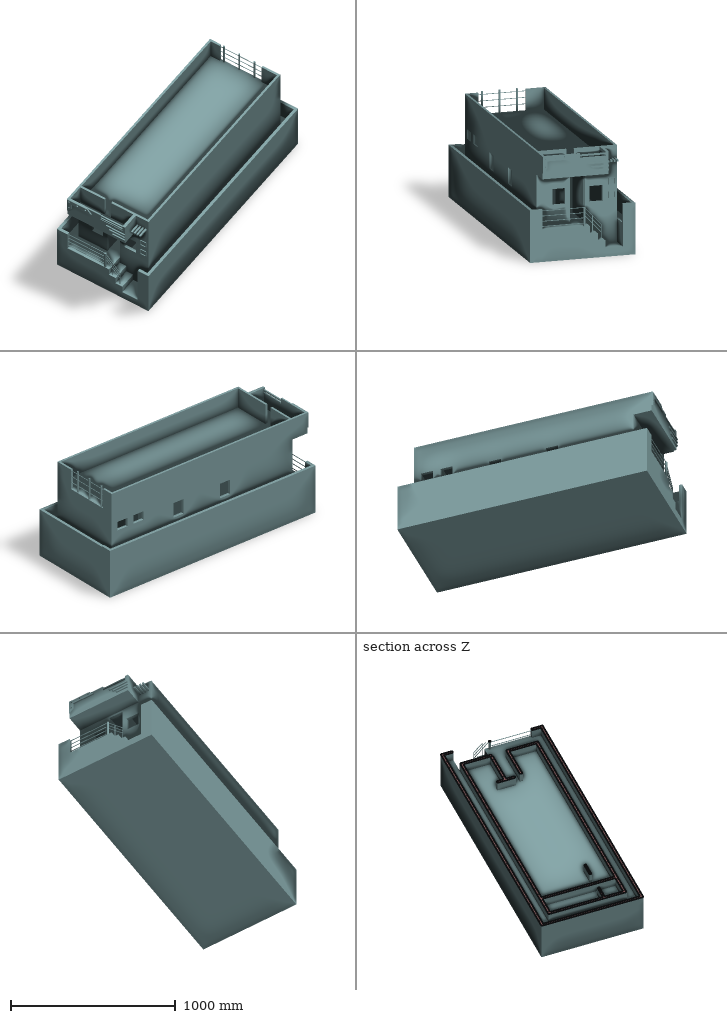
import cadquery as cq
import math

PLOT_WIDTH = 672.0
FACADE_RELIEF = 8.0
PLOT_LENGTH = 1634 - FACADE_RELIEF
WALL_TOP = 324.0
RAISED_WALL_TOP = 328.0
COMPOUND_WALL = 20.0
FLOOR_Z = 201.0

SIDE_PASSAGE = 78.0
HOUSE_LEFT = SIDE_PASSAGE
HOUSE_RIGHT = PLOT_WIDTH - SIDE_PASSAGE
HOUSE_FRONT = 118.0
HOUSE_REAR = PLOT_LENGTH - SIDE_PASSAGE
HOUSE_WALL = 20.0
PARAPET_WALL = 15.0
ROOF_TOP = 663.0
ROOF_FLOOR = 528.0
CEILING_Z = 510.0

BALCONY_RIGHT = 500.0
BALCONY_UNDERSIDE = 520.0
BALCONY_FLOOR = 526.0
BALCONY_SIDE_WALL = 20.0
BALCONY_FRONT_WALL = 10.0
BALCONY_DOOR_LEFT = 270.0
BALCONY_DOOR_RIGHT = 319.0

GRILLE_LEFT = BALCONY_DOOR_RIGHT
GRILLE_RIGHT = BALCONY_RIGHT - BALCONY_SIDE_WALL
GRILLE_BARS = 2
GRILLE_BAR_HEIGHT = 10.0
GRILLE_PITCH = 2 * GRILLE_BAR_HEIGHT
GRILLE_DEPTH = 10.0
GRILLE_BOTTOM = ROOF_TOP - GRILLE_BARS * GRILLE_PITCH
GRILLE_Y = 3.0

PANEL_WIDTH = 31.0
PANEL_TOP_LENGTH = 147
PANEL_SIDE_HEIGHT = 105.0
PANEL_HOLE_DIAMETER = 12.0
PANEL_HOLE_PITCH = 60.0
PANEL_HOLE_DROP = 50.0
SLATS = 3
SLAT_HEIGHT = 10.0
SLAT_PITCH = 25.0
SLAT_TOP = 603.0
SLAT_LEFT = 363.0

BEAMS = 4
BEAM_SIZE = 11.0
BEAM_LENGTH = 69.0
BEAM_PITCH = 20.0
LAST_BEAM_LEFT = 569.0
BEAM_BOTTOM = 578.0

STEPS = 3
TREAD = 49
RISER = 49
STAIR_TOP_X = 382.0

DOOR_LEFT = 291.0
DOOR_RIGHT = 385.0
DOOR_TOP = 503.0
WINDOW_SILL = 319.0
WINDOW_HEAD = 420.0
FRONT_WINDOWS = [(181.0, 260.0), (415.0, 500.0)]
SIDE_WINDOWS = [(611.0, 690.0), (980, 1059.0)]
SIDE_VENT_SILL = 392
SIDE_VENT_HEAD = 451.0
SIDE_VENTS = [(1295.0, 1375.0), (1423.0, 1502.0)]

HALL_LEFT = DOOR_LEFT
HALL_RIGHT = 380.0
HALL_WALL_LENGTH = 229
HALL_END_LEFT = 324.0
HALL_END_RIGHT = 446.0
REAR_ROOM_Y = 1389
REAR_PARTITION = (215.0, 230.0)
REAR_PARTITION_START = 1225
REAR_DOORWAY = (1319.0, 1441.0)

FRAME_SIZE = 42.0
FRAME_BORDER = 3.0
FRAME_THICKNESS = 5.0
FRAME_LEFT = 535.0
FRAME_BOTTOMS = [335.0, 420.0]

RAIL = 3.0
FRONT_RAIL_Y = 10.0
FRONT_POST_DIAMETER = 15.0
FRONT_POST_X = 350.0
FRONT_POST_TOP = 320.0
FRONT_RAIL_PITCH = 33
FRONT_RAILS = 4
STAIR_POST = 3.0
STAIR_POST_XS = [400.0, 456.0]
STAIR_RAIL_DROP = 115
STAIR_RAIL_PITCH = 25.0
STAIR_RAILS = 3
REAR_GAP_LEFT = 160.0
REAR_GAP_RIGHT = 465.0
REAR_POST_DIAMETER = 12.0
REAR_POST_XS = [185.0, 297.0, 409]
REAR_POST_TOP = 672.0
REAR_RAIL_TOP = 654
REAR_RAIL_PITCH = 41.0
REAR_RAILS = 3


def box(x0, x1, y0, y1, z0, z1):
    """Box between two opposite corners."""
    return cq.Workplane("XY").box(x1 - x0, y1 - y0, z1 - z0, centered=False).translate((x0, y0, z0))


def front_profile(points, y0, y1):
    """Solid with an outline in X and Z, running from y0 back to y1."""
    return cq.Workplane("XZ", origin=(0, y0, 0)).polyline(points).close().extrude(y0 - y1)


def make_compound():
    """Filled plot with a wall around it, open at the front across the house width."""
    plot = box(0, PLOT_WIDTH, 0, PLOT_LENGTH, 0, WALL_TOP)
    plot = plot.union(box(0, SIDE_PASSAGE, 0, PLOT_LENGTH, 0, RAISED_WALL_TOP))
    plot = plot.cut(
        box(COMPOUND_WALL, PLOT_WIDTH - COMPOUND_WALL,
            COMPOUND_WALL, PLOT_LENGTH - COMPOUND_WALL, FLOOR_Z, RAISED_WALL_TOP)
    )
    return plot.cut(box(HOUSE_LEFT, HOUSE_RIGHT, 0, COMPOUND_WALL, FLOOR_Z, RAISED_WALL_TOP))


def make_stair_well():
    """Space above the steps, which go down to the right in front of the house."""
    well = None
    for step in range(STEPS):
        left = STAIR_TOP_X + step * TREAD
        tread_z = FLOOR_Z - (step + 1) * RISER
        space = box(left, HOUSE_RIGHT, 0, HOUSE_FRONT, tread_z, FLOOR_Z)
        well = space if well is None else well.union(space)
    return well


def make_inner_walls():
    """Hall walls at the front, and the wall across and partition along the rear rooms."""
    hall_end = HOUSE_FRONT + HALL_WALL_LENGTH
    partition = box(*REAR_PARTITION, REAR_PARTITION_START, HOUSE_REAR, FLOOR_Z, CEILING_Z)
    return [
        box(HALL_LEFT - HOUSE_WALL, HALL_LEFT, HOUSE_FRONT, hall_end, FLOOR_Z, CEILING_Z),
        box(HALL_RIGHT, HALL_RIGHT + HOUSE_WALL, HOUSE_FRONT, hall_end, FLOOR_Z, CEILING_Z),
        box(HALL_END_LEFT, HALL_END_RIGHT, hall_end, hall_end + HOUSE_WALL, FLOOR_Z, CEILING_Z),
        box(HOUSE_LEFT, HOUSE_RIGHT, REAR_ROOM_Y, REAR_ROOM_Y + HOUSE_WALL, FLOOR_Z, CEILING_Z),
        partition.cut(box(*REAR_PARTITION, *REAR_DOORWAY, FLOOR_Z, CEILING_Z)),
    ]


def make_house_shell():
    """House block with its rooms, its roof terrace and the gap in the rear parapet."""
    house = box(HOUSE_LEFT, HOUSE_RIGHT, HOUSE_FRONT, HOUSE_REAR, FLOOR_Z, ROOF_TOP)
    house = house.cut(
        box(HOUSE_LEFT + PARAPET_WALL, HOUSE_RIGHT - PARAPET_WALL,
            HOUSE_FRONT + PARAPET_WALL, HOUSE_REAR - PARAPET_WALL, ROOF_FLOOR, ROOF_TOP)
    )
    rooms = box(HOUSE_LEFT + HOUSE_WALL, HOUSE_RIGHT - HOUSE_WALL,
                HOUSE_FRONT + HOUSE_WALL, HOUSE_REAR - HOUSE_WALL, FLOOR_Z, CEILING_Z)
    for wall in make_inner_walls():
        rooms = rooms.cut(wall)
    house = house.cut(rooms)
    return house.cut(
        box(REAR_GAP_LEFT, REAR_GAP_RIGHT, HOUSE_REAR - PARAPET_WALL, HOUSE_REAR, ROOF_FLOOR, ROOF_TOP)
    )


def cut_doors_and_windows(house):
    """Openings through the front and left walls."""
    inner_front = HOUSE_FRONT + HOUSE_WALL
    inner_left = HOUSE_LEFT + HOUSE_WALL
    house = house.cut(box(DOOR_LEFT, DOOR_RIGHT, HOUSE_FRONT, inner_front, FLOOR_Z, DOOR_TOP))
    for left, right in FRONT_WINDOWS:
        house = house.cut(box(left, right, HOUSE_FRONT, inner_front, WINDOW_SILL, WINDOW_HEAD))
    for near, far in SIDE_WINDOWS:
        house = house.cut(box(HOUSE_LEFT, inner_left, near, far, WINDOW_SILL, WINDOW_HEAD))
    for near, far in SIDE_VENTS:
        house = house.cut(box(HOUSE_LEFT, inner_left, near, far, SIDE_VENT_SILL, SIDE_VENT_HEAD))
    return house


def make_balcony():
    """Tray that overhangs the entrance, with bars across an opening in its front."""
    balcony = box(HOUSE_LEFT, BALCONY_RIGHT, 0, HOUSE_FRONT, BALCONY_UNDERSIDE, ROOF_TOP)
    balcony = balcony.cut(
        box(HOUSE_LEFT + PARAPET_WALL, BALCONY_RIGHT - BALCONY_SIDE_WALL,
            BALCONY_FRONT_WALL, HOUSE_FRONT, BALCONY_FLOOR, ROOF_TOP)
    )
    balcony = balcony.cut(
        box(GRILLE_LEFT, GRILLE_RIGHT, 0, BALCONY_FRONT_WALL, GRILLE_BOTTOM, ROOF_TOP)
    )
    for bar in range(GRILLE_BARS):
        bottom = GRILLE_BOTTOM + bar * GRILLE_PITCH
        balcony = balcony.union(
            box(GRILLE_LEFT, GRILLE_RIGHT, GRILLE_Y, GRILLE_Y + GRILLE_DEPTH,
                bottom, bottom + GRILLE_BAR_HEIGHT)
        )
    return balcony


def make_facade_panel():
    """Inverted L with mitred ends and four round holes on the balcony front."""
    inner_x = HOUSE_LEFT + PANEL_WIDTH
    inner_z = ROOF_TOP - PANEL_WIDTH
    end_x = HOUSE_LEFT + PANEL_TOP_LENGTH
    end_z = ROOF_TOP - PANEL_SIDE_HEIGHT
    panel = front_profile(
        [
            (HOUSE_LEFT, ROOF_TOP),
            (end_x, ROOF_TOP),
            (end_x + PANEL_WIDTH, inner_z),
            (inner_x, inner_z),
            (inner_x, end_z + PANEL_WIDTH),
            (HOUSE_LEFT, end_z),
        ],
        -FACADE_RELIEF,
        0,
    )
    corner_x = HOUSE_LEFT + PANEL_WIDTH / 2
    corner_z = ROOF_TOP - PANEL_WIDTH / 2
    centres = [(corner_x + i * PANEL_HOLE_PITCH, corner_z) for i in range(3)]
    centres.append((corner_x, corner_z - PANEL_HOLE_DROP))
    holes = cq.Workplane("XZ").pushPoints(centres).circle(PANEL_HOLE_DIAMETER / 2).extrude(FACADE_RELIEF)
    return panel.cut(holes)


def make_slat(number):
    """Slat on the balcony front, its left end mitred at 45 degrees."""
    left = SLAT_LEFT + number * SLAT_PITCH
    top = SLAT_TOP - number * SLAT_PITCH
    bottom = top - SLAT_HEIGHT
    points = [(left, top), (BALCONY_RIGHT, top), (BALCONY_RIGHT, bottom), (left + SLAT_HEIGHT, bottom)]
    return front_profile(points, -FACADE_RELIEF, 0)


def make_beam(number):
    """Sunshade beam that sticks out of the front wall."""
    left = LAST_BEAM_LEFT - number * BEAM_PITCH
    return box(left, left + BEAM_SIZE, HOUSE_FRONT - BEAM_LENGTH, HOUSE_FRONT,
               BEAM_BOTTOM, BEAM_BOTTOM + BEAM_SIZE)


def make_house():
    """The plot and everything built on it in one piece."""
    house = make_compound().union(make_house_shell()).cut(make_stair_well())
    house = cut_doors_and_windows(house).union(make_balcony())
    house = house.cut(
        box(BALCONY_DOOR_LEFT, BALCONY_DOOR_RIGHT, HOUSE_FRONT, HOUSE_FRONT + PARAPET_WALL,
            ROOF_FLOOR, ROOF_TOP)
    )
    house = house.union(make_facade_panel())
    for number in range(SLATS):
        house = house.union(make_slat(number))
    for number in range(BEAMS):
        house = house.union(make_beam(number))
    return house


def make_frame(bottom):
    """Square frame on the front wall, beside the right window."""
    right = FRAME_LEFT + FRAME_SIZE
    top = bottom + FRAME_SIZE
    front = HOUSE_FRONT - FRAME_THICKNESS
    frame = box(FRAME_LEFT, right, front, HOUSE_FRONT, bottom, top)
    return frame.cut(
        box(FRAME_LEFT + FRAME_BORDER, right - FRAME_BORDER, front, HOUSE_FRONT,
            bottom + FRAME_BORDER, top - FRAME_BORDER)
    )


def make_post(diameter, x, y, bottom, top):
    """Round railing post."""
    return cq.Workplane("XY", origin=(x, y, bottom)).circle(diameter / 2).extrude(top - bottom)


def make_level_rail(left, right, y, top):
    """Square rail along X, centred on y."""
    return box(left, right, y - RAIL / 2, y + RAIL / 2, top - RAIL, top)


def make_front_railing():
    """Level rails along the entrance floor and sloping rails down the steps."""
    railing = make_post(FRONT_POST_DIAMETER, FRONT_POST_X, FRONT_RAIL_Y, FLOOR_Z, FRONT_POST_TOP)
    for number in range(FRONT_RAILS):
        top = FRONT_POST_TOP - number * FRONT_RAIL_PITCH
        railing = railing.union(make_level_rail(HOUSE_LEFT, FRONT_POST_X, FRONT_RAIL_Y, top))

    end_x = STAIR_POST_XS[-1] + STAIR_POST / 2
    slope = STAIR_RAIL_DROP / (end_x - FRONT_POST_X)
    rail_height = RAIL * math.hypot(1, slope)
    rail_front = FRONT_RAIL_Y - RAIL / 2
    for number in range(STAIR_RAILS):
        start_top = FRONT_POST_TOP - number * STAIR_RAIL_PITCH
        end_top = start_top - STAIR_RAIL_DROP
        points = [
            (FRONT_POST_X, start_top),
            (end_x, end_top),
            (end_x, end_top - rail_height),
            (FRONT_POST_X, start_top - rail_height),
        ]
        railing = railing.union(front_profile(points, rail_front, rail_front + RAIL))

    for step, x in enumerate(STAIR_POST_XS):
        left = x - STAIR_POST / 2
        right = x + STAIR_POST / 2
        foot = FLOOR_Z - (step + 1) * RISER
        left_top = FRONT_POST_TOP - slope * (left - FRONT_POST_X)
        right_top = FRONT_POST_TOP - slope * (right - FRONT_POST_X)
        points = [(left, foot), (right, foot), (right, right_top), (left, left_top)]
        post_front = FRONT_RAIL_Y - STAIR_POST / 2
        railing = railing.union(front_profile(points, post_front, post_front + STAIR_POST))
    return railing


def make_rear_railing():
    """Posts and rails across the gap in the rear parapet."""
    y = HOUSE_REAR - PARAPET_WALL / 2
    railing = None
    for x in REAR_POST_XS:
        post = make_post(REAR_POST_DIAMETER, x, y, ROOF_FLOOR, REAR_POST_TOP)
        railing = post if railing is None else railing.union(post)
    for number in range(REAR_RAILS):
        top = REAR_RAIL_TOP - number * REAR_RAIL_PITCH
        railing = railing.union(make_level_rail(REAR_GAP_LEFT, REAR_GAP_RIGHT, y, top))
    return railing


house = make_house()
front_railing = make_front_railing()
rear_railing = make_rear_railing()
frames = [make_frame(bottom) for bottom in FRAME_BOTTOMS]

result = cq.Compound.makeCompound(
    [house.val(), front_railing.val(), rear_railing.val(), *[frame.val() for frame in frames]]
)